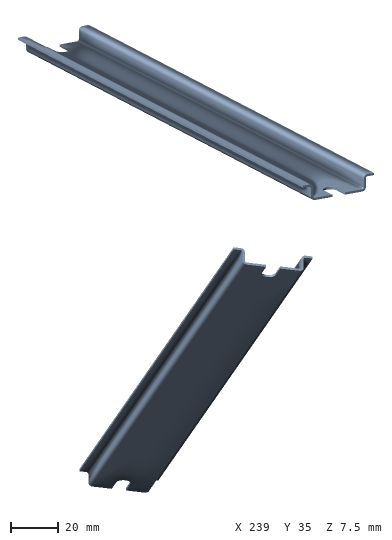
import cadquery as cq

length = 239.0
width = 35.0
height = 7.5
thickness = 1.0
channel_width = 27.0
inner_bend_radius = 0.8
outer_bend_radius = inner_bend_radius + thickness

slot_width = 6.2
slot_depth = 10.0


def rail_body():
    """Extrude the bent sheet profile, centred on X and Y, base at Z = 0."""
    half_width = width / 2
    half_channel = channel_width / 2
    half_inside = half_channel - thickness
    flange_bottom = height - thickness
    outline = [
        (-half_channel, 0),
        (half_channel, 0),
        (half_channel, flange_bottom),
        (half_width, flange_bottom),
        (half_width, height),
        (half_inside, height),
        (half_inside, thickness),
        (-half_inside, thickness),
        (-half_inside, height),
        (-half_width, height),
        (-half_width, flange_bottom),
        (-half_channel, flange_bottom),
    ]
    body = (
        cq.Workplane("YZ")
        .polyline(outline)
        .close()
        .extrude(length / 2, both=True)
    )

    def bend_edges(y, z):
        """Select the two mirrored lengthwise edges at distance y and level z."""
        tolerance = thickness / 4
        selectors = [
            cq.selectors.BoxSelector(
                (-tolerance, side * y - tolerance, z - tolerance),
                (tolerance, side * y + tolerance, z + tolerance),
            )
            for side in (-1, 1)
        ]
        return body.edges(selectors[0] + selectors[1])

    for y, z, radius in (
        (half_channel, 0, outer_bend_radius),
        (half_inside, thickness, inner_bend_radius),
        (half_channel, flange_bottom, inner_bend_radius),
        (half_inside, height, outer_bend_radius),
    ):
        body = bend_edges(y, z).fillet(radius)
    return body


def end_slots():
    """Round-bottomed slots cut inward from both ends of the base."""
    return (
        cq.Workplane("XY")
        .pushPoints([(-length / 2, 0), (length / 2, 0)])
        .slot2D(2 * slot_depth, slot_width)
        .extrude(height)
    )


result = rail_body().cut(end_slots())